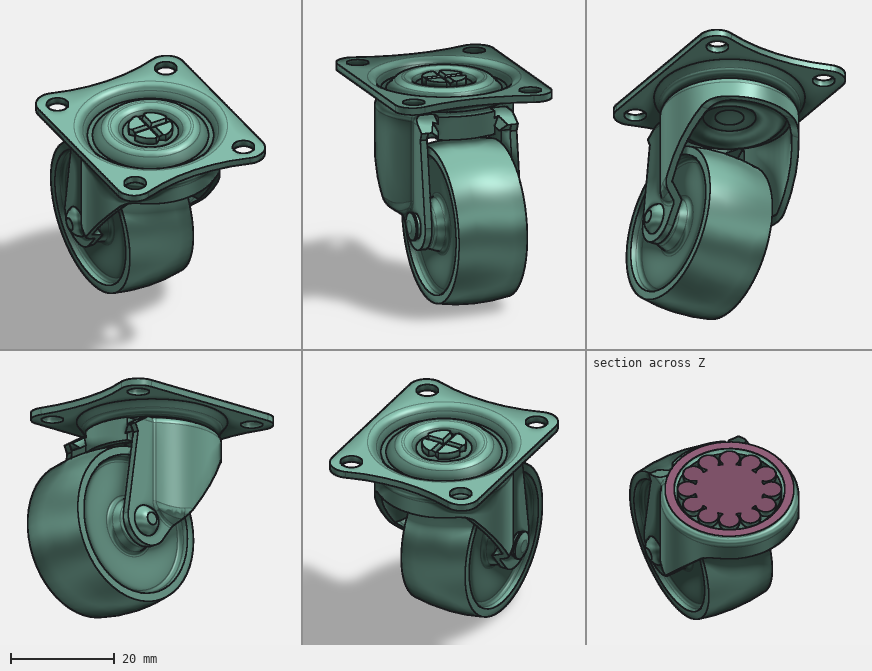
import cadquery as cq
import math


total_length = 46
total_height = 42.0
sheet = 1.4

plate_length = 38.0
plate_width = 32.0
plate_corner_radius = 3.6
plate_waist = 16.95
plate_hole_radius = 2.1
plate_hole_x = 15.0
plate_hole_y = 12.0
dish_rim_radius = 14.75
dish_floor_z = -2.25
dish_bottom_z = dish_floor_z - sheet
recess_floor_z = -1.4

pin_head_radius = 4.25
pin_groove_half_width = 0.62
pin_groove_depth = 0.65
pin_notch_start = 3.3
pin_notch_half_width = 1.25
pin_stem_radius = 2.75
pin_collar_radius = 6.65
ball_count = 12
ball_radius = 2.02
ball_circle_radius = 8.05
ball_z = -4.0
race_radius = ball_radius + 0.05

wheel_radius = 16.0
wheel_edge_radius = 15.3
wheel_half_width = 7.05
wheel_recess_radius = 13.7
wheel_recess_floor_radius = 12.7
wheel_recess_depth = 1.85
recess_rounding = 0.85
hub_radius = 4.7
hub_half_length = 8.0
hub_base_radius = 6.05
hub_rounding = 0.45
wheel_x = plate_length / 2 - total_length + wheel_radius
wheel_z = wheel_radius - total_height

axle_radius = 2.45
axle_head_radius = 3.05
axle_head_height = 1.7
axle_head_flat_radius = 1.25
axle_rivet_radius = 2.75
axle_rivet_neck = 0.75
axle_rivet_rim = 0.35
axle_rivet_dome = 0.4

crown_radius = 13.35
crown_top_z = -4.35
crown_bottom_z = -8.95
crown_rounding = 1.35
crown_lip_rounding = 4.15
lip_front_x = 4.6
leg_outer_y = 9.95
leg_inner_y = leg_outer_y - sheet
leg_end_radius = 4.8
leg_rear_x = -2.3
leg_front_top = (-13.1, -8.35)
fork_back_angle = 52.5
fork_back_offset = 5.3
bulge_front_x = -9.4
bulge_arc_radius = 6.25
bulge_arc_z = -19.5
bulge_taper = 35
bulge_rounding = 2.3
bulge_seam_rounding = 0.9
shoulder_top = (-9.65, crown_top_z)
shoulder_tip = (-13.8, -6.85)
shoulder_inner_y = 5.8
shoulder_trim = [(-9.65, -5.65, -4.65), (-13.8, -7.77, -6.9), (-12.0, -5.8, -7.35)]


def ring_about_z(profile):
    return profile.close().revolve(360, (0, 0, 0), (0, 1, 0))


def turned_on_axle(profile):
    """Revolve an (r, y) profile about the Y axis and move it onto the wheel axis."""
    return profile.close().revolve(360, (0, 0, 0), (0, 1, 0)).translate((wheel_x, 0, wheel_z))


def across(outline, y_from, y_to):
    """Extrude an outline in the XZ plane from one Y to another."""
    return outline.extrude(y_from - y_to).translate((0, y_from, 0))


def both_sides(body):
    return body.union(body.mirror("XZ"))


def plate_sheet():
    corner_x = plate_length / 2 - plate_corner_radius
    corner_y = plate_width / 2 - plate_corner_radius
    gap = plate_waist - corner_x
    hollow_radius = (gap**2 + corner_y**2 - plate_corner_radius**2) / (2 * (plate_corner_radius - gap))
    turn = math.asin(corner_y / (hollow_radius + plate_corner_radius))
    end_x = corner_x + plate_corner_radius * math.cos(turn)
    end_y = corner_y - plate_corner_radius * math.sin(turn)
    mid = (math.pi / 2 - turn) / 2
    mid_x = corner_x + plate_corner_radius * math.cos(mid)
    mid_y = corner_y + plate_corner_radius * math.sin(mid)
    top_y = plate_width / 2
    outline = (
        cq.Workplane("XY")
        .moveTo(-corner_x, top_y)
        .lineTo(corner_x, top_y)
        .threePointArc((mid_x, mid_y), (end_x, end_y))
        .threePointArc((plate_waist, 0), (end_x, -end_y))
        .threePointArc((mid_x, -mid_y), (corner_x, -top_y))
        .lineTo(-corner_x, -top_y)
        .threePointArc((-mid_x, -mid_y), (-end_x, -end_y))
        .threePointArc((-plate_waist, 0), (-end_x, end_y))
        .threePointArc((-mid_x, mid_y), (-corner_x, top_y))
        .close()
    )
    holes = (
        cq.Workplane("XY")
        .rect(2 * plate_hole_x, 2 * plate_hole_y, forConstruction=True)
        .vertices()
        .circle(plate_hole_radius)
        .extrude(-sheet)
    )
    dish_opening = cq.Workplane("XY").circle(dish_rim_radius).extrude(-sheet)
    return outline.extrude(-sheet).cut(holes).cut(dish_opening)


def plate_dish():
    return ring_about_z(
        cq.Workplane("XZ")
        .moveTo(dish_rim_radius, 0)
        .threePointArc((13.85, -0.3), (13.05, -1.0))
        .lineTo(12.15, dish_floor_z)
        .lineTo(11.2, dish_floor_z)
        .lineTo(9.5, -0.6)
        .threePointArc((8.92, -0.2), (8.2, 0))
        .lineTo(7.75, 0)
        .threePointArc((6.9, -0.2), (6.2, -0.65))
        .lineTo(5.4, recess_floor_z)
        .lineTo(pin_stem_radius, recess_floor_z)
        .lineTo(pin_stem_radius, recess_floor_z - sheet)
        .lineTo(6.4, recess_floor_z - sheet)
        .lineTo(7.6, -sheet)
        .lineTo(8.35, -sheet)
        .lineTo(10.63, dish_bottom_z)
        .lineTo(12.25, dish_bottom_z)
        .threePointArc((13.05, -3.35), (13.55, -2.65))
        .lineTo(14.55, -sheet)
        .lineTo(dish_rim_radius, -sheet)
    )


plate = plate_sheet().union(plate_dish())


def pin_head():
    height = -recess_floor_z
    head = cq.Workplane("XY").circle(pin_head_radius).extrude(-height)
    notch = (
        cq.Workplane("XY")
        .moveTo(pin_notch_start, 0)
        .lineTo(pin_head_radius, pin_notch_half_width)
        .lineTo(pin_head_radius + 0.45, pin_notch_half_width)
        .lineTo(pin_head_radius + 0.45, -pin_notch_half_width)
        .lineTo(pin_head_radius, -pin_notch_half_width)
        .close()
        .extrude(-height)
    )
    groove = (
        cq.Workplane("YZ")
        .moveTo(-pin_groove_half_width, 0)
        .lineTo(pin_groove_half_width, 0)
        .lineTo(0, -pin_groove_depth)
        .close()
        .extrude(pin_head_radius, both=True)
    )
    for quarter in range(4):
        head = head.cut(notch.rotate((0, 0, 0), (0, 0, 1), 90 * quarter))
    for quarter in range(2):
        head = head.cut(groove.rotate((0, 0, 0), (0, 0, 1), 90 * quarter))
    return head


def swivel_pin():
    collar_top = recess_floor_z - sheet
    stem_length = recess_floor_z - (crown_top_z - sheet)
    stem = cq.Workplane("XY", origin=(0, 0, recess_floor_z)).circle(pin_stem_radius).extrude(-stem_length)
    collar = (
        cq.Workplane("XY", origin=(0, 0, crown_top_z))
        .circle(pin_collar_radius)
        .extrude(collar_top - crown_top_z)
    )
    pin = pin_head().union(stem).union(collar)
    balls = (
        cq.Workplane("XY", origin=(0, 0, ball_z))
        .polarArray(ball_circle_radius, 0, 360, ball_count)
        .sphere(ball_radius, combine=False)
    )
    for ball in balls.vals():
        pin = pin.union(cq.Workplane(ball))
    return pin


pin = swivel_pin()


def slope_direction():
    angle = math.radians(fork_back_angle)
    return math.cos(angle), math.sin(angle)


def leg_outline():
    """Outline of one leg from the shoulder round the axle and up the rear edge."""
    top_x, top_z = leg_front_top
    reach = math.hypot(top_x - wheel_x, top_z - wheel_z)
    tangent = math.atan2(top_z - wheel_z, top_x - wheel_x) + math.acos(leg_end_radius / reach)
    front = (wheel_x + leg_end_radius * math.cos(tangent), wheel_z + leg_end_radius * math.sin(tangent))
    run, rise = slope_direction()
    rear = (wheel_x + fork_back_offset * rise, wheel_z - fork_back_offset * run)
    rear_end = (leg_rear_x, rear[1] + (leg_rear_x - rear[0]) * rise / run)
    return (
        cq.Workplane("XZ")
        .moveTo(*shoulder_tip)
        .lineTo(*leg_front_top)
        .lineTo(*front)
        .threePointArc((wheel_x, wheel_z - leg_end_radius), rear)
        .lineTo(*rear_end)
        .lineTo(leg_rear_x, crown_top_z)
        .lineTo(*shoulder_top)
        .close()
    )


def rear_clip():
    """Everything in front of the rear edge and above the crown's lower lip."""
    run, rise = slope_direction()
    low_z = wheel_z
    low_x = wheel_x + fork_back_offset / rise
    corner_x = low_x + (crown_bottom_z - low_z) * run / rise
    half = math.radians(fork_back_angle) / 2
    lip_length = crown_lip_rounding * math.tan(half)
    slope_end = (corner_x - lip_length * run, crown_bottom_z - lip_length * rise)
    lip_center_x = corner_x + lip_length
    lip_center_z = crown_bottom_z - crown_lip_rounding
    lip_mid = (
        lip_center_x - crown_lip_rounding * math.sin(half),
        lip_center_z + crown_lip_rounding * math.cos(half),
    )
    far = crown_radius + 0.45
    outline = (
        cq.Workplane("XZ")
        .moveTo(-far, crown_top_z)
        .lineTo(far, crown_top_z)
        .lineTo(far, crown_bottom_z)
        .lineTo(lip_center_x, crown_bottom_z)
        .threePointArc(lip_mid, slope_end)
        .lineTo(low_x, low_z)
        .lineTo(-far, low_z)
        .close()
    )
    return across(outline, -far, far)


def bulge_region(start_y, inset):
    """Tapered prism that bounds one side bulge, from start_y outwards on the -Y side."""
    radius = bulge_arc_radius - inset
    front_x = bulge_front_x + inset
    arc_center_x = bulge_front_x + bulge_arc_radius
    far = 3 * crown_radius
    return (
        cq.Workplane("XZ", origin=(0, -start_y, 0))
        .moveTo(front_x, crown_top_z + far)
        .lineTo(front_x, bulge_arc_z)
        .threePointArc(
            (arc_center_x - radius * math.sqrt(0.5), bulge_arc_z - radius * math.sqrt(0.5)),
            (arc_center_x, bulge_arc_z - radius),
        )
        .lineTo(far, bulge_arc_z - radius)
        .lineTo(far, crown_top_z + far)
        .close()
        .extrude(crown_radius - start_y + 0.45, taper=bulge_taper)
    )


def drum(radius, top_z):
    return cq.Workplane("XY", origin=(0, 0, top_z)).circle(radius).extrude(wheel_z - top_z)


def outer_side_edges(x_range, y_range, z_range):
    """Selector for edges on both sides whose centre lies in the given ranges of X, |Y| and Z."""
    x0, x1 = x_range
    y0, y1 = y_range
    z0, z1 = z_range
    near = cq.selectors.BoxSelector((x0, -y1, z0), (x1, -y0, z1))
    far = cq.selectors.BoxSelector((x0, y0, z0), (x1, y1, z1))
    return near + far


def crown_and_bulges():
    crown_band = (
        cq.Workplane("XY", origin=(0, 0, crown_top_z))
        .rect(3 * crown_radius, 3 * crown_radius)
        .extrude(crown_bottom_z - crown_top_z)
    )
    lip = (
        cq.Workplane("XY", origin=(0, 0, crown_bottom_z))
        .center(1.5 * crown_radius, 0)
        .rect(3 * crown_radius - 2 * lip_front_x, 3 * crown_radius)
        .extrude(-crown_lip_rounding)
    )
    crown = drum(crown_radius, crown_top_z).intersect(crown_band.union(lip))
    bulges = drum(crown_radius, crown_top_z).intersect(both_sides(bulge_region(leg_outer_y, 0)))
    low_edges = outer_side_edges(
        (-crown_radius, crown_radius), (leg_outer_y + 0.25, crown_radius), (wheel_z, bulge_arc_z)
    )
    bulges = bulges.edges(low_edges).fillet(bulge_rounding)
    return crown.union(bulges).intersect(rear_clip())


def fork_cavity():
    between_legs = cq.Workplane("XY").box(4 * crown_radius, 2 * leg_inner_y, 2 * total_height)
    taper = math.radians(bulge_taper)
    inset = sheet / math.cos(taper) - sheet * math.tan(taper)
    region = both_sides(bulge_region(leg_inner_y, inset)).union(between_legs)
    return drum(crown_radius - sheet, crown_top_z - sheet).intersect(region)


def shoulder_outline(drop_start, drop_end):
    """Band parallel to the sloping shoulder, between two depths below its upper face."""
    run = shoulder_top[0] - shoulder_tip[0]
    rise = shoulder_top[1] - shoulder_tip[1]
    length = math.hypot(run, rise)
    normal = (rise / length, -run / length)

    def sunk(point, depth):
        return (point[0] + depth * normal[0], point[1] + depth * normal[1])

    return (
        cq.Workplane("XZ")
        .moveTo(*sunk(shoulder_top, drop_start))
        .lineTo(*sunk(shoulder_tip, drop_start))
        .lineTo(*sunk(shoulder_tip, drop_end))
        .lineTo(*sunk(shoulder_top, drop_end))
        .close()
    )


def shoulder():
    """Sloping plate that joins one leg on the -Y side to the crown."""
    slope = across(shoulder_outline(0, sheet), -leg_outer_y, -shoulder_inner_y)
    first, second, third = [cq.Vector(*corner) for corner in shoulder_trim]
    inward = (second - first).cross(third - first)
    trim_plane = cq.Plane(origin=first, xDir=second - first, normal=inward)
    trim = cq.Workplane(trim_plane).rect(total_length, total_length).extrude(-total_length)
    return slope.cut(trim)


def shoulder_clearance():
    """Space above and below the shoulder that the crown wall leaves open."""
    above = across(shoulder_outline(0, -2 * sheet), -crown_radius, -shoulder_inner_y)
    below = across(shoulder_outline(sheet, 4 * sheet), -leg_inner_y, -shoulder_inner_y)
    return above.union(below)


def rounded_top(body):
    """Round the outer edge of the crown top along both sides and round the rear."""

    def on_crown_side(edge):
        start = edge.startPoint()
        end = edge.endPoint()
        level = max(abs(start.z - crown_top_z), abs(end.z - crown_top_z)) < 0.005
        return level and min(abs(start.y), abs(end.y)) > leg_outer_y - 0.05

    rim = [edge for edge in body.edges().vals() if on_crown_side(edge)]
    return cq.Workplane(body.val().fillet(crown_rounding, rim))


def ball_race(radius):
    return cq.Workplane(
        cq.Solid.makeTorus(ball_circle_radius, radius, cq.Vector(0, 0, ball_z), cq.Vector(0, 0, 1))
    )


def pressed_fork():
    leg = across(leg_outline(), -leg_outer_y, -leg_inner_y)
    seams = outer_side_edges(
        (bulge_front_x, leg_rear_x - 0.45),
        (leg_outer_y - 0.05, leg_outer_y + 0.05),
        (wheel_z, crown_top_z - 0.45),
    )
    body = crown_and_bulges().union(both_sides(leg)).edges(seams).fillet(bulge_seam_rounding)
    body = body.cut(both_sides(shoulder_clearance())).union(both_sides(shoulder()))
    body = rounded_top(body).cut(fork_cavity())
    race_wall = ball_race(race_radius + sheet).intersect(drum(crown_radius, crown_top_z))
    pin_hole = drum(pin_stem_radius, crown_top_z)
    axle_circle = cq.Workplane("XZ", origin=(wheel_x, 0, wheel_z)).circle(axle_radius)
    axle_hole = across(axle_circle, -crown_radius, crown_radius)
    return body.union(race_wall).cut(ball_race(race_radius)).cut(pin_hole).cut(axle_hole)


fork = pressed_fork()


def crowned_wheel():
    floor_y = wheel_half_width - wheel_recess_depth
    fillet_y = floor_y + recess_rounding
    hub_fillet_radius = hub_base_radius - recess_rounding
    rim_fillet_radius = wheel_recess_floor_radius + recess_rounding
    return turned_on_axle(
        cq.Workplane("XY")
        .moveTo(axle_radius, -hub_half_length)
        .lineTo(hub_radius - hub_rounding, -hub_half_length)
        .radiusArc((hub_radius, hub_rounding - hub_half_length), -hub_rounding)
        .lineTo(hub_fillet_radius, -fillet_y)
        .radiusArc((hub_base_radius, -floor_y), recess_rounding)
        .lineTo(wheel_recess_floor_radius, -floor_y)
        .radiusArc((rim_fillet_radius, -fillet_y), recess_rounding)
        .lineTo(wheel_recess_radius, -wheel_half_width)
        .lineTo(wheel_edge_radius, -wheel_half_width)
        .threePointArc((wheel_radius, 0), (wheel_edge_radius, wheel_half_width))
        .lineTo(wheel_recess_radius, wheel_half_width)
        .lineTo(rim_fillet_radius, fillet_y)
        .radiusArc((wheel_recess_floor_radius, floor_y), recess_rounding)
        .lineTo(hub_base_radius, floor_y)
        .radiusArc((hub_fillet_radius, fillet_y), recess_rounding)
        .lineTo(hub_radius, hub_half_length - hub_rounding)
        .radiusArc((hub_radius - hub_rounding, hub_half_length), -hub_rounding)
        .lineTo(axle_radius, hub_half_length)
    )


wheel = crowned_wheel()


def riveted_axle():
    head_end = -leg_outer_y - axle_head_height
    neck_end = leg_outer_y + axle_rivet_neck
    rim_end = neck_end + axle_rivet_rim
    dome_end = rim_end + axle_rivet_dome
    return turned_on_axle(
        cq.Workplane("XY")
        .moveTo(0, head_end)
        .lineTo(axle_head_flat_radius, head_end)
        .threePointArc((2.5, -leg_outer_y - 0.9), (axle_head_radius, -leg_outer_y))
        .lineTo(axle_radius, -leg_outer_y)
        .lineTo(axle_radius, neck_end)
        .lineTo(axle_rivet_radius, neck_end)
        .lineTo(axle_rivet_radius, rim_end)
        .lineTo(axle_head_flat_radius, dome_end)
        .lineTo(0, dome_end)
    )


axle = riveted_axle()

result = cq.Compound.makeCompound([plate.val(), pin.val(), fork.val(), wheel.val(), axle.val()])